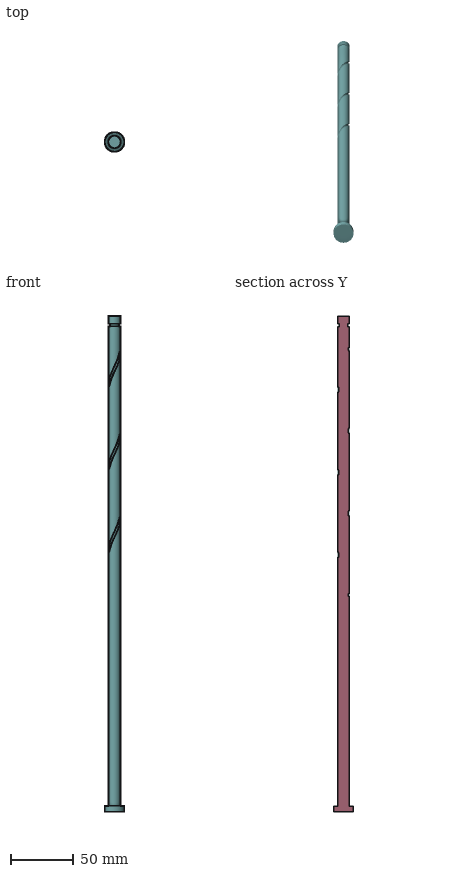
import cadquery as cq

TOTAL_LENGTH = 400.0
HEAD_DIAMETER = 16.0
HEAD_HEIGHT = 5.0
SHAFT_DIAMETER = 10.0

NECK_DIAMETER = 7.5
NECK_WIDTH = 2.0
TIP_LENGTH = 6.5

GROOVE_LENGTH = 200.0
GROOVE_TURNS = 3
GROOVE_BOTTOM_Z = 174.0
GROOVE_WIDTH = 2.0


def stepped_pin():
    """Head, shaft, neck and tip revolved in one piece about Z."""
    head_radius = HEAD_DIAMETER / 2
    shaft_radius = SHAFT_DIAMETER / 2
    neck_radius = NECK_DIAMETER / 2
    neck_top = TOTAL_LENGTH - TIP_LENGTH
    neck_bottom = neck_top - NECK_WIDTH
    half_section = [
        (0, 0),
        (-head_radius, 0),
        (-head_radius, HEAD_HEIGHT),
        (-shaft_radius, HEAD_HEIGHT),
        (-shaft_radius, neck_bottom),
        (-neck_radius, neck_bottom),
        (-neck_radius, neck_top),
        (-shaft_radius, neck_top),
        (-shaft_radius, TOTAL_LENGTH),
        (0, TOTAL_LENGTH),
    ]
    profile = cq.Workplane("XZ").polyline(half_section).close()
    return profile.revolve(360, (0, 0, 0), (0, 1, 0))


def helical_groove():
    """Round cutter swept along a helix that starts on the +X side of the shaft."""
    shaft_radius = SHAFT_DIAMETER / 2
    path = cq.Wire.makeHelix(
        GROOVE_LENGTH / GROOVE_TURNS,
        GROOVE_LENGTH,
        shaft_radius,
        center=cq.Vector(0, 0, GROOVE_BOTTOM_Z),
    )
    section = cq.Workplane(
        cq.Plane(
            origin=(shaft_radius, 0, GROOVE_BOTTOM_Z),
            xDir=(1, 0, 0),
            normal=path.tangentAt(0),
        )
    ).circle(GROOVE_WIDTH / 2)
    return section.sweep(cq.Workplane(path), isFrenet=True)


result = stepped_pin().cut(helical_groove())